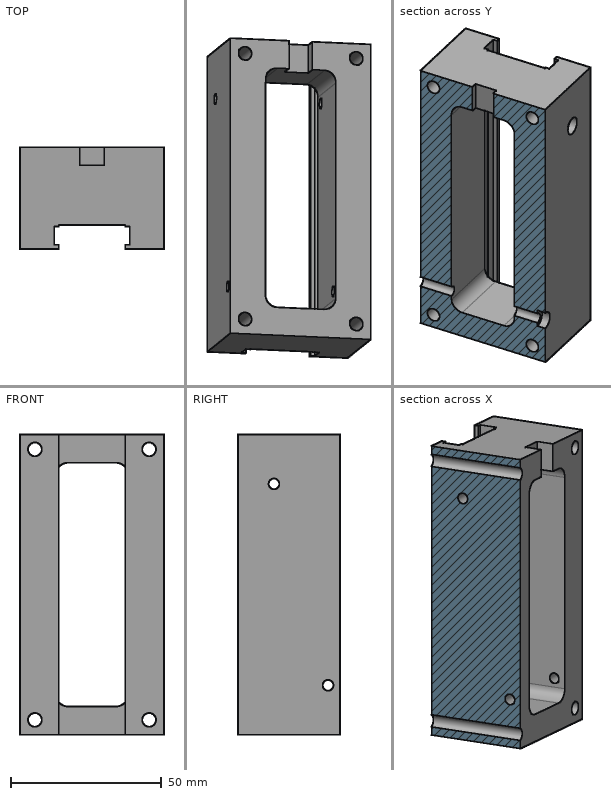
import cadquery as cq

WIDTH = 48.0
DEPTH = 34.0
HEIGHT = 100.0
FRONT_Y = -DEPTH / 2
BACK_Y = DEPTH / 2

CHANNEL_WIDTH = 25.0
CHANNEL_MOUTH_WIDTH = 22.0
LIP_THICKNESS = 1.5
SHOULDER_DEPTH = 7.5
CHANNEL_DEPTH = 8.0

WINDOW_WIDTH = 24.0
WINDOW_HEIGHT = 81.0
WINDOW_CORNER_RADIUS = 4.0

NOTCH_WIDTH = 8.0
NOTCH_DEPTH = 6.0

MOUNT_HOLE_DIAMETER = 4.5
MOUNT_SPACING_X = 38.0
MOUNT_SPACING_Z = 90.0

CROSS_HOLE_DIAMETER = 3.5
CROSS_BORE_DIAMETER = 6.0
CROSS_BORE_DEPTH = 3.0
CROSS_HOLE_END_DISTANCE = 16.5
UPPER_CROSS_HOLE_Y = -5.0
LOWER_CROSS_HOLE_Y = 13.0


def box_between_y(width, height, y_start, y_end, z_centre):
    """Box centred on X, spanning y_start to y_end."""
    length = y_end - y_start
    return cq.Workplane("XY").box(width, length, height).translate((0, y_start + length / 2, z_centre))


def make_channel():
    """Full-height channel: narrow mouth and floor with a wider section between them."""
    mouth = box_between_y(CHANNEL_MOUTH_WIDTH, HEIGHT, FRONT_Y, FRONT_Y + CHANNEL_DEPTH, HEIGHT / 2)
    undercut = box_between_y(
        CHANNEL_WIDTH, HEIGHT, FRONT_Y + LIP_THICKNESS, FRONT_Y + SHOULDER_DEPTH, HEIGHT / 2
    )
    return mouth.union(undercut)


def make_window():
    """Rounded rectangular opening behind the channel floor."""
    window = box_between_y(WINDOW_WIDTH, WINDOW_HEIGHT, FRONT_Y + CHANNEL_DEPTH, BACK_Y, HEIGHT / 2)
    return window.edges("|Y").fillet(WINDOW_CORNER_RADIUS)


def make_notch():
    """Notch through the top wall at its back edge, reaching down into the open window."""
    notch_height = HEIGHT / 2
    return box_between_y(
        NOTCH_WIDTH, notch_height, BACK_Y - NOTCH_DEPTH, BACK_Y, HEIGHT - notch_height / 2
    )


def make_mount_holes():
    """Four through holes near the corners of the front face."""
    return (
        cq.Workplane("XZ", origin=(0, BACK_Y, HEIGHT / 2))
        .rarray(MOUNT_SPACING_X, MOUNT_SPACING_Z, 2, 2)
        .circle(MOUNT_HOLE_DIAMETER / 2)
        .extrude(DEPTH)
    )


def make_cross_hole(y, z):
    """Hole through both side walls, counterbored from the -X side."""
    side_plane = cq.Workplane("YZ", origin=(-WIDTH / 2, y, z))
    hole = side_plane.circle(CROSS_HOLE_DIAMETER / 2).extrude(WIDTH)
    bore = side_plane.circle(CROSS_BORE_DIAMETER / 2).extrude(CROSS_BORE_DEPTH)
    return hole.union(bore)


block = box_between_y(WIDTH, HEIGHT, FRONT_Y, BACK_Y, HEIGHT / 2)
result = (
    block.cut(make_channel())
    .cut(make_window())
    .cut(make_notch())
    .cut(make_mount_holes())
    .cut(make_cross_hole(UPPER_CROSS_HOLE_Y, HEIGHT - CROSS_HOLE_END_DISTANCE))
    .cut(make_cross_hole(LOWER_CROSS_HOLE_Y, CROSS_HOLE_END_DISTANCE))
)